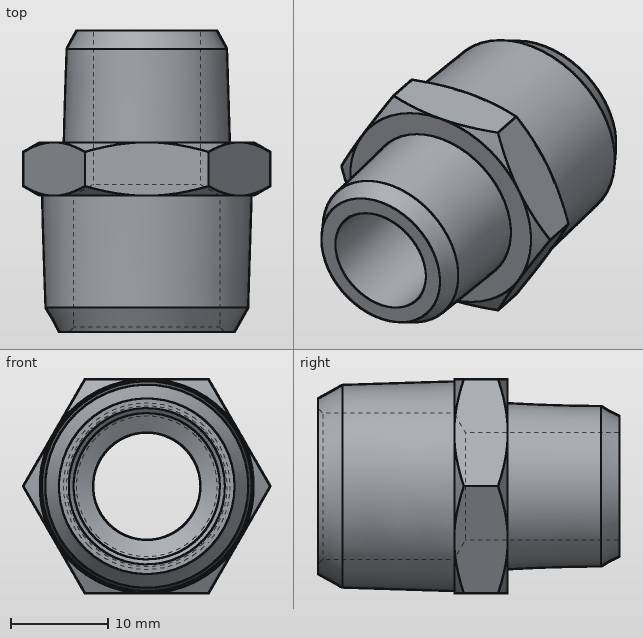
import cadquery as cq
import math

length = 31.0
front_y = -length / 2
back_y = length / 2

hex_flats = 22.0
hex_width = 5.5
hex_corners = hex_flats / math.cos(math.radians(30))
hex_chamfer_angle = 30.0

taper = 1 / 16
large_length = 14.0
large_root_diameter = 21.58
large_tip_diameter = 18.05
large_chamfer_length = 2.5
small_root_diameter = 17.1
small_tip_diameter = 14.45
small_chamfer_length = 1.9

mouth_diameter = 16.05
wide_bore_diameter = 15.05
through_bore_diameter = 11.0
mouth_chamfer_angle = 45.0
bore_cone_angle = 60.0

hex_front_y = front_y + large_length
hex_back_y = hex_front_y + hex_width


def revolve_about_y(profile):
    """Turn (radius, y) points into a solid of revolution closed on the Y axis."""
    first_y = profile[0][1]
    last_y = profile[-1][1]
    outline = [(0, first_y), *profile, (0, last_y)]
    return cq.Workplane("XY").polyline(outline).close().revolve(360, (0, 0), (0, 1))


def make_tapered_body():
    large_shoulder_y = front_y + large_chamfer_length
    small_shoulder_y = back_y - small_chamfer_length
    large_shoulder_diameter = large_root_diameter - taper * (hex_front_y - large_shoulder_y)
    small_shoulder_diameter = small_root_diameter - taper * (small_shoulder_y - hex_back_y)
    return revolve_about_y([
        (large_tip_diameter / 2, front_y),
        (large_shoulder_diameter / 2, large_shoulder_y),
        (large_root_diameter / 2, hex_front_y),
        (small_root_diameter / 2, hex_front_y),
        (small_root_diameter / 2, hex_back_y),
        (small_shoulder_diameter / 2, small_shoulder_y),
        (small_tip_diameter / 2, back_y),
    ])


def make_hexagon():
    prism = (
        cq.Workplane("XZ", origin=(0, hex_back_y, 0))
        .polygon(6, hex_corners)
        .extrude(hex_width)
    )
    face_radius = hex_flats / 2
    corner_radius = hex_corners / 2
    bevel_depth = (corner_radius - face_radius) * math.tan(math.radians(hex_chamfer_angle))
    envelope = revolve_about_y([
        (face_radius, hex_front_y),
        (corner_radius, hex_front_y + bevel_depth),
        (corner_radius, hex_back_y - bevel_depth),
        (face_radius, hex_back_y),
    ])
    return prism.intersect(envelope)


def make_bore():
    mouth_radius = mouth_diameter / 2
    wide_radius = wide_bore_diameter / 2
    through_radius = through_bore_diameter / 2
    mouth_depth = (mouth_radius - wide_radius) / math.tan(math.radians(mouth_chamfer_angle))
    cone_depth = (wide_radius - through_radius) / math.tan(math.radians(bore_cone_angle))
    return revolve_about_y([
        (mouth_radius, front_y),
        (wide_radius, front_y + mouth_depth),
        (wide_radius, hex_front_y),
        (through_radius, hex_front_y + cone_depth),
        (through_radius, back_y),
    ])


result = make_tapered_body().union(make_hexagon()).cut(make_bore())